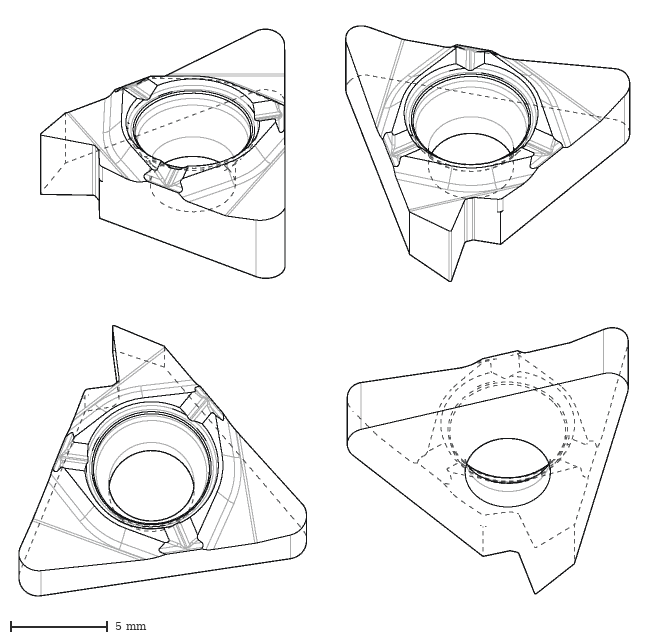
import cadquery as cq
import math

inscribed_diameter = 9.52
flank_distance = inscribed_diameter / 2
corner_radius = 1.0
corner_directions = (0, 120, 240)
height = 4.2
corner_spacing = 120
oversize = 22.08
select_margin = 0.01

tooth_tip_x = -3.27
tooth_tip_y = -7.27
tooth_base_y = -4.85
tooth_nose_radius = 0.07
notch_right_x = -1.32
notch_blend_radius = 0.18
notch_apex_y = -5.53
notch_apex_x = 2 * (flank_distance + notch_apex_y * math.cos(math.radians(30)))
apex_round_radius = 0.3
apex_round_bottom = 2.56

floor_height = 3.37
ramp_distance = 4.73
ramp_angle = 15.0
ramp_blend_radius = 0.5
ramp_normals = (30, 150, 270)

boss_top_radius = 3.7
boss_wall_angle = 48.0
boss_foot_blend = 0.44
boss_arc_starts = (-2, 118, 238)
boss_arc_span = 32

hole_diameter = 4.4
bowl_bottom = 1.34
bowl_radius = 2.25
bowl_top_angle = 45.0
bowl_blend_radius = 0.47
rim_height = 3.71
rim_chamfer = 0.09
recess_radius = 3.46
recess_draft = 14.0
recess_blend_radius = 0.18

flank_normals = (60, 180, 300)
slot_lead_angle = 13
slot_offset = 0.06
slot_half_width = 0.74
slot_bottom_half_width = 0.13
slot_wall_angle = 37.0
slot_bottom_radius = 0.28
ledge_floor = 3.72
ledge_wall_top = 4.28
ledge_wall_angle = 63.0
ledge_blend_radius = 0.25
ledge_length = 2.65
slot_mouth_radius = 0.13


def polar(radius, degrees):
    """Point at a radius and direction about the hole axis."""
    angle = math.radians(degrees)
    return (radius * math.cos(angle), radius * math.sin(angle))


def rotate_z(solid, degrees):
    """Copy of a body turned about the hole axis."""
    return solid.rotate((0, 0, 0), (0, 0, 1), degrees)


def make_blank():
    """Triangular prism with two rounded corners and the tooth on the third."""
    vertices = [polar(inscribed_diameter, a) for a in corner_directions]
    prism = cq.Workplane("XY").polyline(vertices).close().extrude(height)
    prism = prism.edges("|Z and (>X or >Y)").fillet(corner_radius)

    tooth_half_width = tooth_tip_x + flank_distance
    tooth_right_x = tooth_tip_x + tooth_half_width
    keep_points = [
        (-flank_distance, oversize),
        (-flank_distance, tooth_base_y),
        (tooth_tip_x, tooth_tip_y),
        (tooth_right_x, tooth_base_y),
        (notch_right_x, tooth_base_y),
        (notch_apex_x, notch_apex_y),
        (oversize, notch_apex_y),
        (oversize, oversize),
    ]
    keep = cq.Workplane("XY").polyline(keep_points).close().extrude(height)
    keep = keep.edges(cq.selectors.NearestToPointSelector((tooth_tip_x, tooth_tip_y, height / 2)))
    keep = keep.fillet(tooth_nose_radius)
    for x in (tooth_right_x, notch_right_x):
        edge = cq.selectors.NearestToPointSelector((x, tooth_base_y, height / 2))
        keep = keep.edges(edge).fillet(notch_blend_radius)
    blank = prism.intersect(keep)

    apex = cq.selectors.NearestToPointSelector((notch_apex_x, notch_apex_y, height / 2))
    rounded = blank.edges(apex).fillet(apex_round_radius)
    lower = cq.Workplane("XY").rect(2 * oversize, 2 * oversize).extrude(apex_round_bottom)
    return rounded.union(blank.intersect(lower))


def make_ramp():
    """Slope that rises from the floor towards +X, starting with a rounded valley."""
    angle = math.radians(ramp_angle)
    tangent = ramp_blend_radius * math.tan(angle / 2)
    start = (ramp_distance - tangent, floor_height)
    end = (ramp_distance + tangent * math.cos(angle), floor_height + tangent * math.sin(angle))
    top = floor_height + (oversize - ramp_distance) * math.tan(angle)
    return (
        cq.Workplane("XZ")
        .moveTo(*start)
        .radiusArc(end, -ramp_blend_radius)
        .lineTo(oversize, top)
        .lineTo(oversize, 0)
        .lineTo(start[0], 0)
        .close()
        .extrude(oversize, both=True)
    )


def make_boss():
    """Boss with cone sectors joined by flat walls, blended into the floor plate."""
    foot_radius = boss_top_radius + (height - floor_height) / math.tan(math.radians(boss_wall_angle))
    half_gap = (corner_spacing - boss_arc_span) / 2
    reach = foot_radius / math.cos(math.radians(half_gap))
    outline = cq.Workplane("XY", origin=(0, 0, floor_height))
    outline = outline.moveTo(*polar(foot_radius, boss_arc_starts[0]))
    for start in boss_arc_starts:
        outline = outline.threePointArc(
            polar(foot_radius, start + boss_arc_span / 2),
            polar(foot_radius, start + boss_arc_span),
        )
        outline = outline.lineTo(*polar(reach, start + boss_arc_span + half_gap))
        outline = outline.lineTo(*polar(foot_radius, start + corner_spacing))
    boss = outline.close().extrude(height - floor_height, taper=90 - boss_wall_angle)
    plate = cq.Workplane("XY").rect(2 * oversize, 2 * oversize).extrude(floor_height)
    foot = cq.selectors.BoxSelector(
        (-reach, -reach, floor_height - select_margin),
        (reach, reach, floor_height + select_margin),
    )
    return plate.union(boss).edges(foot).fillet(boss_foot_blend)


def make_seat():
    """Screw hole, its rounded bowl and the stepped recess in the boss."""
    angle = math.radians(bowl_top_angle)
    half = angle / 2
    hole_radius = hole_diameter / 2

    def bowl_point(turn):
        return (
            hole_radius + bowl_radius * (1 - math.cos(turn)),
            bowl_bottom + bowl_radius * math.sin(turn),
        )

    bowl_top = bowl_point(angle)
    wall_radius = bowl_top[0] + bowl_blend_radius * (1 - math.cos(angle))
    blend_top = bowl_top[1] + bowl_blend_radius * math.sin(angle)
    blend_middle = (
        wall_radius - bowl_blend_radius * (1 - math.cos(half)),
        blend_top - bowl_blend_radius * math.sin(half),
    )
    recess_foot = recess_radius - (height - rim_height) * math.tan(math.radians(recess_draft))
    seat = (
        cq.Workplane("XZ")
        .lineTo(hole_radius, 0)
        .lineTo(hole_radius, bowl_bottom)
        .threePointArc(bowl_point(half), bowl_top)
        .threePointArc(blend_middle, (wall_radius, blend_top))
        .lineTo(wall_radius, rim_height - rim_chamfer)
        .lineTo(wall_radius + rim_chamfer, rim_height)
        .lineTo(recess_foot, rim_height)
        .lineTo(recess_radius, height)
        .lineTo(0, height)
        .close()
        .revolve(360, (0, 0, 0), (0, 1, 0))
    )
    corner = cq.selectors.BoxSelector(
        (-recess_radius, -recess_radius, rim_height - select_margin),
        (recess_radius, recess_radius, rim_height + select_margin),
    )
    return seat.edges(corner).edges(cq.selectors.RadiusNthSelector(-1)).fillet(recess_blend_radius)


def make_slot():
    """Slot with sloping walls and a rounded bottom, running outwards along +X."""
    depth = (slot_half_width - slot_bottom_half_width) * math.tan(math.radians(slot_wall_angle))
    section = [
        (slot_offset - slot_half_width, height),
        (slot_offset - slot_bottom_half_width, height - depth),
        (slot_offset + slot_bottom_half_width, height - depth),
        (slot_offset + slot_half_width, height),
    ]
    slot = cq.Workplane("YZ").polyline(section).close().extrude(oversize)
    return slot.faces("<Z").edges("|X").fillet(slot_bottom_radius)


def make_flank_cut():
    """Slot and the ledge it runs into, for a flank facing +X, with rounded slot mouth edges."""
    run = (height - ledge_floor) / math.tan(math.radians(ledge_wall_angle))
    ledge_wall_foot = ledge_wall_top + run
    section = [
        (ledge_wall_top, height),
        (ledge_wall_foot, ledge_floor),
        (oversize, ledge_floor),
        (oversize, height),
    ]
    ledge = cq.Workplane("XZ").polyline(section).close().extrude(ledge_length / 2, both=True)
    trough = cq.selectors.NearestToPointSelector((ledge_wall_foot, 0, ledge_floor))
    ledge = ledge.edges(trough).fillet(ledge_blend_radius)
    slot_y = ledge_wall_top * math.tan(math.radians(slot_lead_angle))
    cut = ledge.translate((0, slot_y, 0)).union(rotate_z(make_slot(), slot_lead_angle))

    middle_height = (ledge_floor + height) / 2
    mouth = cq.selectors.BoxSelector(
        (ledge_wall_top + select_margin, slot_y - ledge_length / 3, middle_height),
        (ledge_wall_foot - select_margin, slot_y + ledge_length / 3, height - select_margin),
    )
    return cut.edges(mouth).fillet(slot_mouth_radius)


upper_form = make_boss()
for ramp_normal in ramp_normals:
    upper_form = upper_form.union(rotate_z(make_ramp(), ramp_normal))

result = make_blank().intersect(upper_form).cut(make_seat())
for flank_normal in flank_normals:
    result = result.cut(rotate_z(make_flank_cut(), flank_normal))